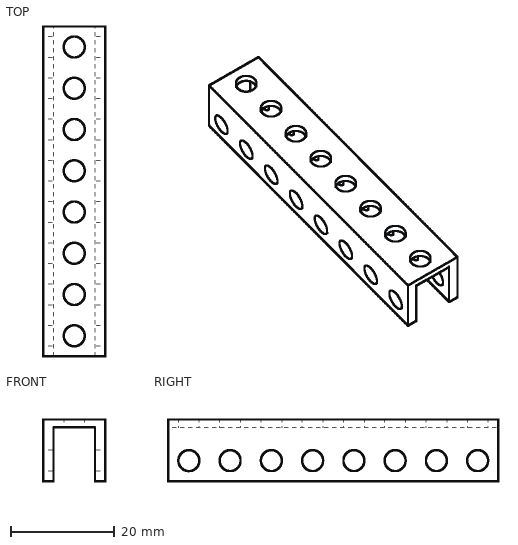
import cadquery as cq

length = 64.0
width = 12.0
height = 12.0
slot_width = 8.0
web_thickness = 1.55

hole_count = 8
hole_pitch = length / hole_count
hole_diameter = 4.0
side_hole_height = 4.0


def make_channel():
    """U-shaped bar along Y, resting on Z = 0 with its open side down."""
    bar = cq.Workplane("XY").box(width, length, height, centered=(True, True, False))
    slot_height = height - web_thickness
    slot = cq.Workplane("XY").box(slot_width, length, slot_height, centered=(True, True, False))
    return bar.cut(slot)


def make_web_holes():
    """Row of vertical cylinders along the centre of the web."""
    return (
        cq.Workplane("XY")
        .rarray(0.65, hole_pitch, 1, hole_count)
        .circle(hole_diameter / 2)
        .extrude(height)
    )


def make_wall_holes():
    """Row of cylinders along X that cross both walls."""
    return (
        cq.Workplane("YZ", origin=(0, 0, side_hole_height))
        .rarray(hole_pitch, 0.65, hole_count, 1)
        .circle(hole_diameter / 2)
        .extrude(width / 2, both=True)
    )


result = make_channel().cut(make_web_holes()).cut(make_wall_holes())